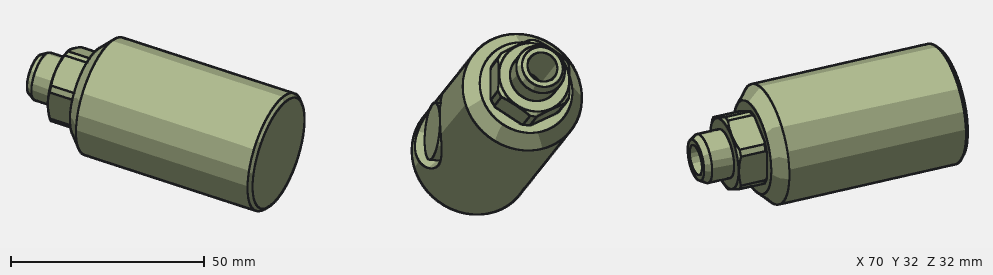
import cadquery as cq
import math

total_length = 70.0
body_radius = 15.995
body_start = 15.9
body_front_chamfer = 3.6
body_rear_chamfer = 1.0

nose_radius = 6.5
nose_chamfer_length = 1.8
nose_chamfer_angle = 30.0
bore_radius = 4.0

hex_start = 8.0
hex_across_flats = 19.05
hex_corner_radius = 10.5
hex_face_radius = 9.4
hex_rear_radius = 10.3
hex_rear_chamfer_length = 0.35
hex_chamfer_angle = 30.0

port_x = 53.6
sink_mouth_radius = 12.1
plug_radius = 7.4
plug_top = 14.7


def turned(points):
    """Revolve a closed (x, radius) outline about the X axis."""
    return cq.Workplane("XY").polyline(points).close().revolve(360, (0, 0, 0), (1, 0, 0))


def make_body():
    length = total_length - body_start
    body = cq.Workplane("YZ", origin=(body_start, 0, 0)).circle(body_radius).extrude(length)
    body = body.faces("<X").chamfer(body_front_chamfer)
    return body.faces(">X").chamfer(body_rear_chamfer)


def make_nose():
    tip_radius = nose_radius - nose_chamfer_length * math.tan(math.radians(nose_chamfer_angle))
    return turned([
        (0, 0),
        (0, tip_radius),
        (nose_chamfer_length, nose_radius),
        (hex_start, nose_radius),
        (hex_start, 0),
    ])


def make_hex_collar():
    """Hexagon with corners on +Z and -Z, trimmed to a chamfered round blank."""
    across_corners = hex_across_flats / math.cos(math.pi / 6)
    prism = (
        cq.Workplane("YZ", origin=(hex_start, 0, 0))
        .transformed(rotate=(0, 0, 90))
        .polygon(6, across_corners)
        .extrude(body_start - hex_start)
    )
    front_chamfer_length = (hex_corner_radius - hex_face_radius) * math.tan(math.radians(hex_chamfer_angle))
    blank = turned([
        (hex_start, 0),
        (hex_start, hex_face_radius),
        (hex_start + front_chamfer_length, hex_corner_radius),
        (body_start - hex_rear_chamfer_length, hex_corner_radius),
        (body_start, hex_rear_radius),
        (body_start, 0),
    ])
    return prism.intersect(blank)


def add_side_port(part):
    sink_depth = sink_mouth_radius - plug_radius
    sink_floor = body_radius - sink_depth
    countersink = cq.Workplane(cq.Solid.makeCone(
        plug_radius, sink_mouth_radius, sink_depth,
        cq.Vector(port_x, sink_floor, 0), cq.Vector(0, 1, 0),
    ))
    plug = cq.Workplane(cq.Solid.makeCylinder(
        plug_radius, plug_top,
        cq.Vector(port_x, 0, 0), cq.Vector(0, 1, 0),
    ))
    return part.cut(countersink).union(plug)


bore = cq.Workplane("YZ").circle(bore_radius).extrude(body_start)

body = add_side_port(make_body())
result = body.union(make_hex_collar()).union(make_nose()).cut(bore)